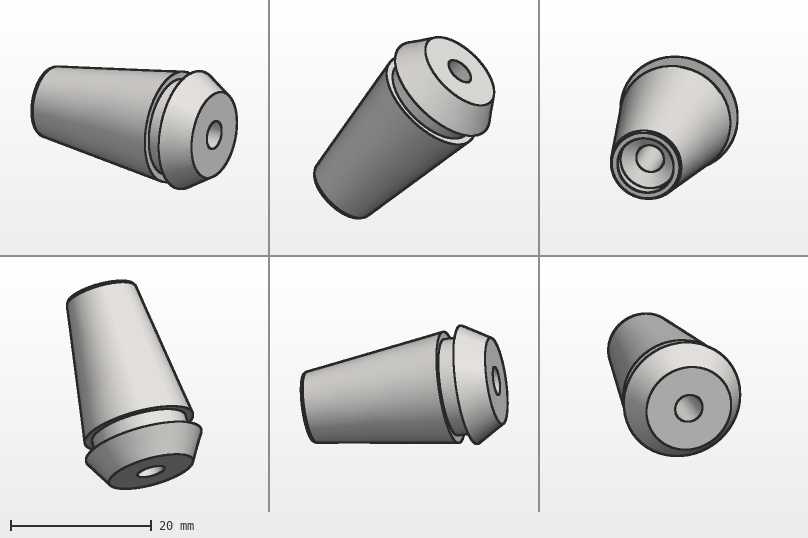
import cadquery as cq
import math

total_length = 27.5
nose_chamfer_length = 0.35
taper_end = 20.82
flange_start = 23.45

flange_diameter = 17.08
flange_radius = flange_diameter / 2
groove_radius = 6.93
taper_large_radius = 8.0
taper_half_angle = 8.0
flange_half_angle = 30.0
nose_chamfer_height = 0.22

taper_small_radius = taper_large_radius - (
    (taper_end - nose_chamfer_length) * math.tan(math.radians(taper_half_angle))
)
nose_radius = taper_small_radius - nose_chamfer_height
rear_radius = flange_radius - (
    (total_length - flange_start) * math.tan(math.radians(flange_half_angle))
)

hole_radius = 2.0
counterbore_radius = 4.05
counterbore_depth = 1.98
mouth_chamfer = 0.05
step_half_angle = 60.0
step_length = (counterbore_radius - hole_radius) / math.tan(math.radians(step_half_angle))


def revolve_about_x(profile):
    """Revolve a closed (x, radius) outline about the X axis."""
    outline = cq.Workplane("XY").polyline(profile).close()
    return outline.revolve(360, (0, 0, 0), (1, 0, 0))


body = revolve_about_x([
    (0, 0),
    (0, nose_radius),
    (nose_chamfer_length, taper_small_radius),
    (taper_end, taper_large_radius),
    (taper_end, groove_radius),
    (flange_start, groove_radius),
    (flange_start, flange_radius),
    (total_length, rear_radius),
    (total_length, 0),
])

bore = revolve_about_x([
    (0, 0),
    (0, counterbore_radius + mouth_chamfer),
    (mouth_chamfer, counterbore_radius),
    (counterbore_depth, counterbore_radius),
    (counterbore_depth + step_length, hole_radius),
    (total_length, hole_radius),
    (total_length, 0),
])

result = body.cut(bore).translate((-total_length / 2, 0, 0))